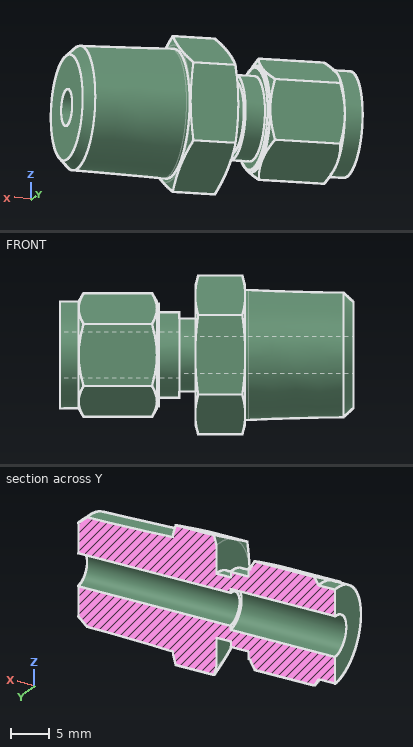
import cadquery as cq
import math

total_length = 38.4

nut_flats = 14.0
collar_end = 2.45
nut_hex_end = 12.67
nut_chamfer_angle = 30.0
nut_rim_radius = 6.72
nut_rim_end = 12.98

wide_neck_radius = 5.6
wide_neck_end = 15.63
narrow_neck_radius = 4.8

body_flats = 18.0
body_hex_start = 17.7
body_hex_end = 24.23
body_chamfer_angle = 15.0

shoulder_end = 24.65
taper_start_radius = 8.52
taper_end_radius = 8.18
end_chamfer_length = 1.35
tip_radius = 6.95

bore_radius = 2.4
tube_socket_radius = 3.0
tube_socket_depth = wide_neck_end


def cylinder(radius, start, end):
    return cq.Workplane("YZ").workplane(offset=start).circle(radius).extrude(end - start)


def chamfered_hexagon(flats, start, end, chamfer_angle):
    """Hexagon with corners on +Z and -Z, its corners turned off at both ends."""
    flat_radius = flats / 2
    corner_radius = flat_radius / math.cos(math.radians(30))
    chamfer_length = (corner_radius - flat_radius) * math.tan(math.radians(chamfer_angle))
    prism = (
        cq.Workplane("YZ")
        .workplane(offset=start)
        .polygon(6, 2 * corner_radius)
        .extrude(end - start)
        .rotate((0, 0, 0), (1, 0, 0), 90)
    )
    turned_blank = (
        cq.Workplane("XY")
        .moveTo(start, 0)
        .lineTo(start, flat_radius)
        .lineTo(start + chamfer_length, corner_radius)
        .lineTo(end - chamfer_length, corner_radius)
        .lineTo(end, flat_radius)
        .lineTo(end, 0)
        .close()
        .revolve(360, (0, 0, 0), (1, 0, 0))
    )
    return prism.intersect(turned_blank)


def tapered_end():
    """Short straight shoulder, then a slight taper closed by an end chamfer."""
    chamfer_start = total_length - end_chamfer_length
    return (
        cq.Workplane("XY")
        .moveTo(body_hex_end, 0)
        .lineTo(body_hex_end, taper_start_radius)
        .lineTo(shoulder_end, taper_start_radius)
        .lineTo(chamfer_start, taper_end_radius)
        .lineTo(total_length, tip_radius)
        .lineTo(total_length, 0)
        .close()
        .revolve(360, (0, 0, 0), (1, 0, 0))
    )


nut = (
    cylinder(nut_flats / 2, 0, collar_end)
    .union(chamfered_hexagon(nut_flats, collar_end, nut_hex_end, nut_chamfer_angle))
    .union(cylinder(nut_rim_radius, nut_hex_end, nut_rim_end))
)

body = (
    cylinder(wide_neck_radius, nut_rim_end, wide_neck_end)
    .union(cylinder(narrow_neck_radius, wide_neck_end, body_hex_start))
    .union(chamfered_hexagon(body_flats, body_hex_start, body_hex_end, body_chamfer_angle))
    .union(tapered_end())
)

bore = cylinder(bore_radius, 0, total_length)
tube_socket = cylinder(tube_socket_radius, 0, tube_socket_depth)

result = nut.union(body).cut(bore).cut(tube_socket)